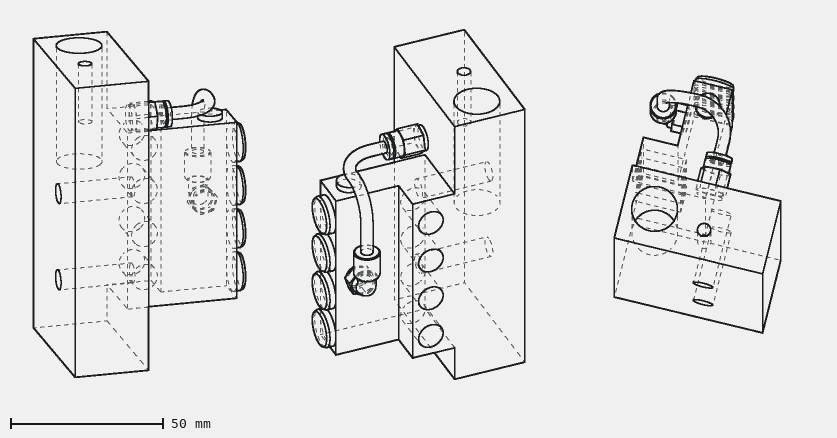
import cadquery as cq
import math

BLOCK_X = 50.0
BLOCK_Y = 25.0
BLOCK_Z = 100.5

BODY_HEIGHT = 61.2
BODY_BOTTOM = 12.6
BODY_TOP = BODY_BOTTOM + BODY_HEIGHT
BODY_RIGHT = 24.5
VALVE_WIDTH = 13.0
VALVE_LEFT = BODY_RIGHT - VALVE_WIDTH
VALVE_CENTER_X = VALVE_LEFT + VALVE_WIDTH / 2
STEP_Y = 40.0
VALVE_BACK = 62.3

STATION_COUNT = 4
STATION_PITCH = 15.0
FIRST_STATION_Z = 19.6
PORT_DIA = 8.7
PORT_Y = 33.5
PORT_DEPTH = 15.1
CAP_DIA = VALVE_WIDTH
CAP_LENGTH = 3.1
CAP_CHAMFER_LENGTH = 1.0
CAP_CHAMFER_DEPTH = 0.5

MOUNT_DIA = 6.5
MOUNT_X = 29.9
MOUNT_LOW_Z = 27.0
MOUNT_SPACING = 2 * STATION_PITCH
SUPPLY_DIA = 15.0
SUPPLY_X = 10.6
SUPPLY_Y = 12.6
SUPPLY_DEPTH = 40.2
PILOT_DIA = 4.3
PILOT_X = 27.9
PILOT_Y = 9.6
PILOT_DEPTH = 20.1

PLUG_DIA = 8.0
PLUG_HEIGHT = 2.0

TUBE_DIA = 4.0
TUBE_BEND = 11.0
TUBE_X = 26.0
TUBE_Z = 79.6
TUBE_BACK_Y = 55.0

FITTING_DIA = 8.6
FITTING_GROOVE_DIA = 6.0
FITTING_HEX_FLATS = 9.0
FITTING_HEX_TURN = -15
FITTING_HEX_START = 26.4
FITTING_HEX_END = 33.6
FITTING_GROOVE_START = 36.7
FITTING_GROOVE_END = 37.3
FITTING_END = 38.7

ELBOW_X = 3.0
ELBOW_Z = 42.2
ELBOW_DIA = 6.0
ELBOW_BEND = 1.8
FLARE_TOP_DIA = 6.6
FLARE_BOTTOM = 45.7
SOCKET_DIA = 8.6
SOCKET_BOTTOM = 47.3
SOCKET_TOP = 57.0
SOCKET_TOP_CHAMFER = 0.3
SOCKET_BOTTOM_FILLET = 1.4
STEM_DIA = 7.5
STEM_START = 5.0
STEM_FILLET = 0.7
ELBOW_HEX_FLATS = 8.2
ELBOW_HEX_TURN = 12.5
ELBOW_HEX_START = 6.7
ELBOW_HEX_END = 10.6

X_AXIS = cq.Vector(1, 0, 0)
Y_AXIS = cq.Vector(0, 1, 0)
Z_AXIS = cq.Vector(0, 0, 1)


def box(x0, x1, y0, y1, z0, z1):
    return cq.Workplane("XY").box(x1 - x0, y1 - y0, z1 - z0, centered=False).translate((x0, y0, z0))


def rod(dia, length, start, direction):
    """Round bar of the given length from a start point."""
    return cq.Workplane(cq.Solid.makeCylinder(dia / 2, length, cq.Vector(*start), direction))


def hex_bar(flats, length, start, direction, turn):
    """Hexagonal bar; turn is the angle of its corner from the plane's local X, in degrees."""
    reference = X_AXIS if direction == Y_AXIS else Y_AXIS
    plane = cq.Plane(origin=start, xDir=reference, normal=direction)
    corner_dia = flats / math.cos(math.pi / 6)
    bar = cq.Workplane(plane).transformed(rotate=(0, 0, turn)).polygon(6, corner_dia)
    return bar.extrude(length)


def base_block():
    block = box(0, BLOCK_X, 0, BLOCK_Y, 0, BLOCK_Z)
    for z in (MOUNT_LOW_Z, MOUNT_LOW_Z + MOUNT_SPACING):
        block = block.cut(rod(MOUNT_DIA, BLOCK_Y, (MOUNT_X, 0, z), Y_AXIS))
    block = block.cut(rod(SUPPLY_DIA, SUPPLY_DEPTH, (SUPPLY_X, SUPPLY_Y, BLOCK_Z), -Z_AXIS))
    return block.cut(rod(PILOT_DIA, PILOT_DEPTH, (PILOT_X, PILOT_Y, BLOCK_Z), -Z_AXIS))


def end_cap(z):
    """Round cap on the back of the valve with a bevelled rim."""
    radius = CAP_DIA / 2
    return (
        cq.Workplane("XY", origin=(VALVE_CENTER_X, VALVE_BACK, z))
        .lineTo(radius, 0)
        .lineTo(radius, CAP_LENGTH - CAP_CHAMFER_LENGTH)
        .lineTo(radius - CAP_CHAMFER_DEPTH, CAP_LENGTH)
        .lineTo(0, CAP_LENGTH)
        .close()
        .revolve(360, (0, 0), (0, 1))
    )


def valve_body():
    body = box(0, BODY_RIGHT, BLOCK_Y, STEP_Y, BODY_BOTTOM, BODY_TOP)
    body = body.union(box(VALVE_LEFT, BODY_RIGHT, STEP_Y, VALVE_BACK, BODY_BOTTOM, BODY_TOP))
    for station in range(STATION_COUNT):
        z = FIRST_STATION_Z + station * STATION_PITCH
        body = body.cut(rod(PORT_DIA, PORT_DEPTH, (0, PORT_Y, z), X_AXIS))
        body = body.union(end_cap(z))
    return body.union(rod(PLUG_DIA, PLUG_HEIGHT, (VALVE_CENTER_X, TUBE_BACK_Y, BODY_TOP), Z_AXIS))


def straight_fitting():
    def barrel(dia, y0, y1):
        return rod(dia, y1 - y0, (TUBE_X, y0, TUBE_Z), Y_AXIS)

    fitting = barrel(FITTING_DIA, BLOCK_Y, FITTING_GROOVE_START)
    fitting = fitting.union(barrel(FITTING_GROOVE_DIA, FITTING_GROOVE_START, FITTING_GROOVE_END))
    fitting = fitting.union(barrel(FITTING_DIA, FITTING_GROOVE_END, FITTING_END))
    nut = hex_bar(
        FITTING_HEX_FLATS,
        FITTING_HEX_END - FITTING_HEX_START,
        (TUBE_X, FITTING_HEX_START, TUBE_Z),
        Y_AXIS,
        FITTING_HEX_TURN,
    )
    return fitting.union(nut)


def tube():
    """Two quarter bends in perpendicular planes joined by straight runs."""
    bend_offset = TUBE_BEND * (1 - math.sqrt(0.5))
    start = (TUBE_X, FITTING_END, TUBE_Z)
    first_bend_start = cq.Vector(TUBE_X, TUBE_BACK_Y - TUBE_BEND, TUBE_Z)
    first_bend_mid = cq.Vector(TUBE_X - bend_offset, TUBE_BACK_Y - bend_offset, TUBE_Z)
    first_bend_end = cq.Vector(TUBE_X - TUBE_BEND, TUBE_BACK_Y, TUBE_Z)
    second_bend_start = cq.Vector(ELBOW_X + TUBE_BEND, TUBE_BACK_Y, TUBE_Z)
    second_bend_mid = cq.Vector(ELBOW_X + bend_offset, TUBE_BACK_Y, TUBE_Z - bend_offset)
    second_bend_end = cq.Vector(ELBOW_X, TUBE_BACK_Y, TUBE_Z - TUBE_BEND)
    path = cq.Wire.assembleEdges([
        cq.Edge.makeLine(cq.Vector(*start), first_bend_start),
        cq.Edge.makeThreePointArc(first_bend_start, first_bend_mid, first_bend_end),
        cq.Edge.makeLine(first_bend_end, second_bend_start),
        cq.Edge.makeThreePointArc(second_bend_start, second_bend_mid, second_bend_end),
        cq.Edge.makeLine(second_bend_end, cq.Vector(ELBOW_X, TUBE_BACK_Y, SOCKET_TOP)),
    ])
    section = cq.Workplane("XZ", origin=start).circle(TUBE_DIA / 2)
    return section.sweep(cq.Workplane(path))


def elbow_bend():
    """Quarter bend from the vertical to the horizontal leg, tighter than the legs are thick.

    The bend radius is smaller than the leg radius, so the part of the round
    section beyond the bend axis is cut off before it is revolved.
    """
    bend_start_z = ELBOW_Z + ELBOW_BEND
    radius = ELBOW_DIA / 2
    half_chord = math.sqrt(radius**2 - ELBOW_BEND**2)
    return (
        cq.Workplane("XY", origin=(ELBOW_X, TUBE_BACK_Y, bend_start_z))
        .moveTo(ELBOW_BEND, half_chord)
        .threePointArc((-radius, 0), (ELBOW_BEND, -half_chord))
        .close()
        .revolve(90, (ELBOW_BEND, 0), (ELBOW_BEND, -1))
    )


def elbow_fitting():
    bend_start_z = ELBOW_Z + ELBOW_BEND
    bend_end_x = ELBOW_X + ELBOW_BEND
    elbow = elbow_bend()
    upright_start = (ELBOW_X, TUBE_BACK_Y, bend_start_z)
    level_start = (bend_end_x, TUBE_BACK_Y, ELBOW_Z)
    elbow = elbow.union(rod(ELBOW_DIA, FLARE_BOTTOM - bend_start_z, upright_start, Z_AXIS))
    elbow = elbow.union(rod(ELBOW_DIA, VALVE_LEFT - bend_end_x, level_start, X_AXIS))
    flare = cq.Solid.makeCone(
        ELBOW_DIA / 2,
        FLARE_TOP_DIA / 2,
        SOCKET_BOTTOM - FLARE_BOTTOM,
        cq.Vector(ELBOW_X, TUBE_BACK_Y, FLARE_BOTTOM),
        Z_AXIS,
    )
    elbow = elbow.union(cq.Workplane(flare))

    socket = rod(SOCKET_DIA, SOCKET_TOP - SOCKET_BOTTOM, (ELBOW_X, TUBE_BACK_Y, SOCKET_BOTTOM), Z_AXIS)
    socket = socket.faces("<Z").edges().fillet(SOCKET_BOTTOM_FILLET)
    socket = socket.faces(">Z").edges().chamfer(SOCKET_TOP_CHAMFER)

    stem = rod(STEM_DIA, VALVE_LEFT - STEM_START, (STEM_START, TUBE_BACK_Y, ELBOW_Z), X_AXIS)
    stem = stem.faces("<X").edges().fillet(STEM_FILLET)
    nut = hex_bar(
        ELBOW_HEX_FLATS,
        ELBOW_HEX_END - ELBOW_HEX_START,
        (ELBOW_HEX_START, TUBE_BACK_Y, ELBOW_Z),
        X_AXIS,
        ELBOW_HEX_TURN,
    )
    return elbow.union(socket).union(stem).union(nut)


result = (
    base_block()
    .union(valve_body())
    .union(straight_fitting())
    .union(tube())
    .union(elbow_fitting())
)